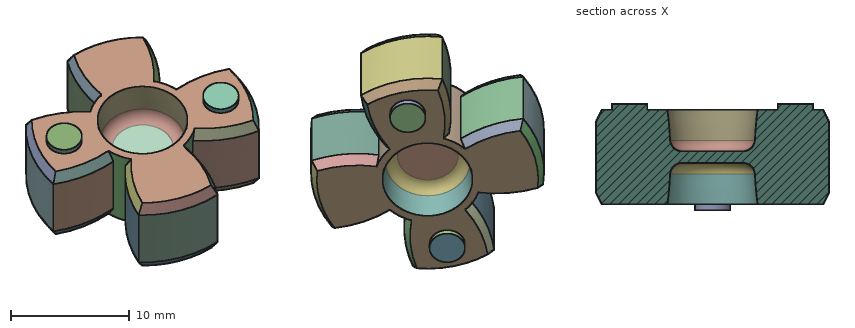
import cadquery as cq
import math

body_height = 8.0
tip_diameter = 19.7
hub_diameter = 9.0
lobe_count = 4

flank_radius = 10.75
lobe_width = 7.26
widest_distance = 7.8
root_distance = 2.0

bevel_height = 1.0
bevel_width = 0.5

recess_diameter = 7.6
recess_draft = 5.0
recess_floor_fillet = 1.0
web_thickness = 1.0

pad_diameter = 3.0
pad_height = 0.5
pad_distance = 7.0

half_height = body_height / 2
tip_radius = tip_diameter / 2
pad_rotation = 360 / lobe_count


def flank_half_width(distance):
    """Half the lobe width at a distance from the hub axis."""
    arc_centre_offset = flank_radius - lobe_width / 2
    along = distance - widest_distance
    return math.sqrt(flank_radius**2 - along**2) - arc_centre_offset


def tip_corner():
    """Point where the upper flank arc meets the tip circle."""
    arc_x = widest_distance
    arc_y = lobe_width / 2 - flank_radius
    centre_gap = math.hypot(arc_x, arc_y)
    along = (tip_radius**2 - flank_radius**2 + centre_gap**2) / (2 * centre_gap)
    angle = math.atan2(arc_y, arc_x) + math.acos(along / tip_radius)
    return tip_radius * math.cos(angle), tip_radius * math.sin(angle)


def lobe_outline(z):
    """Outline of the lobe on the +X side, drawn at height z."""
    corner_x, corner_y = tip_corner()
    root_half = flank_half_width(root_distance)
    middle_x = (root_distance + corner_x) / 2
    middle_half = flank_half_width(middle_x)
    return (
        cq.Workplane("XY", origin=(0, 0, z))
        .moveTo(root_distance, -root_half)
        .threePointArc((middle_x, -middle_half), (corner_x, -corner_y))
        .threePointArc((tip_radius, 0), (corner_x, corner_y))
        .threePointArc((middle_x, middle_half), (root_distance, root_half))
        .close()
    )


def make_lobe():
    """Straight middle section with a tapered section at each end."""
    straight_half = half_height - bevel_height
    bevel_angle = math.degrees(math.atan2(bevel_width, bevel_height))
    straight = lobe_outline(-straight_half).extrude(2 * straight_half)
    top_bevel = lobe_outline(straight_half).extrude(bevel_height, taper=bevel_angle)
    bottom_bevel = top_bevel.mirror("XY")
    return straight.union(top_bevel).union(bottom_bevel)


def make_body():
    body = cq.Workplane("XY").circle(hub_diameter / 2).extrude(half_height, both=True)
    lobe = make_lobe()
    for index in range(lobe_count):
        body = body.union(lobe.rotate((0, 0, 0), (0, 0, 1), index * 360 / lobe_count))
    return body


def make_recess():
    """Cutter for the top recess: drafted wall and a rounded floor edge."""
    depth = half_height - web_thickness / 2
    return (
        cq.Workplane("XY", origin=(0, 0, half_height))
        .circle(recess_diameter / 2)
        .extrude(-depth, taper=recess_draft)
        .faces("<Z")
        .edges()
        .fillet(recess_floor_fillet)
    )


def make_top_pads():
    return (
        cq.Workplane("XY", origin=(0, 0, half_height))
        .pushPoints([(0, -pad_distance), (0, pad_distance)])
        .circle(pad_diameter / 2)
        .extrude(pad_height)
    )


top_recess = make_recess()
top_pads = make_top_pads()
bottom_pads = top_pads.mirror("XY").rotate((0, 0, 0), (0, 0, 1), pad_rotation)

result = make_body().cut(top_recess).cut(top_recess.mirror("XY")).union(top_pads).union(bottom_pads)